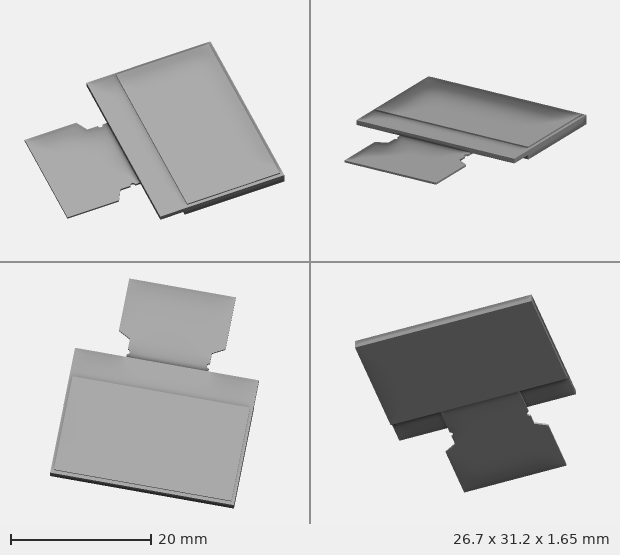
import cadquery as cq

total_length = 31.25
total_height = 1.65
rear_y = total_length / 2
front_y = -total_length / 2

glass_width = 26.7
upper_glass_depth = 19.25
lower_glass_depth = 15.47
glass_thickness = 0.72
upper_glass_z = glass_thickness
film_z = 2 * glass_thickness

film_side_margin = 0.47
film_rear_margin = 0.5
film_width = glass_width - 2 * film_side_margin
film_depth = 14.38
film_thickness = total_height - film_z

cable_thickness = 0.3
cable_width = 15.47
neck_width = 11.9
tail_length = 8.0
shoulder_length = 0.97
notch_radius = 0.38
notch_distance = 1.05
cable_rear_y = rear_y - lower_glass_depth
tail_end_y = front_y + tail_length
neck_start_y = tail_end_y + shoulder_length
notch_y = rear_y - upper_glass_depth - notch_distance


def make_plate(width, depth, thickness, plate_rear_y, bottom_z):
    """Rectangular plate centred on X, placed by its rear edge and its underside."""
    return (
        cq.Workplane("XY", origin=(0, plate_rear_y - depth / 2, bottom_z))
        .rect(width, depth)
        .extrude(thickness)
    )


def make_cable():
    """Flat cable with a tapered shoulder and a round notch in each edge of its neck."""
    bottom_z = upper_glass_z - cable_thickness
    right_half = [
        (cable_width / 2, front_y),
        (cable_width / 2, tail_end_y),
        (neck_width / 2, neck_start_y),
        (neck_width / 2, cable_rear_y),
    ]
    left_half = [(-x, y) for x, y in reversed(right_half)]
    cable = (
        cq.Workplane("XY", origin=(0, 0, bottom_z))
        .polyline(right_half + left_half)
        .close()
        .extrude(cable_thickness)
    )
    notches = (
        cq.Workplane("XY", origin=(0, 0, bottom_z))
        .pushPoints([(side * neck_width / 2, notch_y) for side in (-1, 1)])
        .circle(notch_radius)
        .extrude(cable_thickness)
    )
    return cable.cut(notches)


lower_glass = make_plate(glass_width, lower_glass_depth, glass_thickness, rear_y, 0)
upper_glass = make_plate(glass_width, upper_glass_depth, glass_thickness, rear_y, upper_glass_z)
film = make_plate(film_width, film_depth, film_thickness, rear_y - film_rear_margin, film_z)
cable = make_cable()

result = cq.Compound.makeCompound([lower_glass.val(), upper_glass.val(), film.val(), cable.val()])